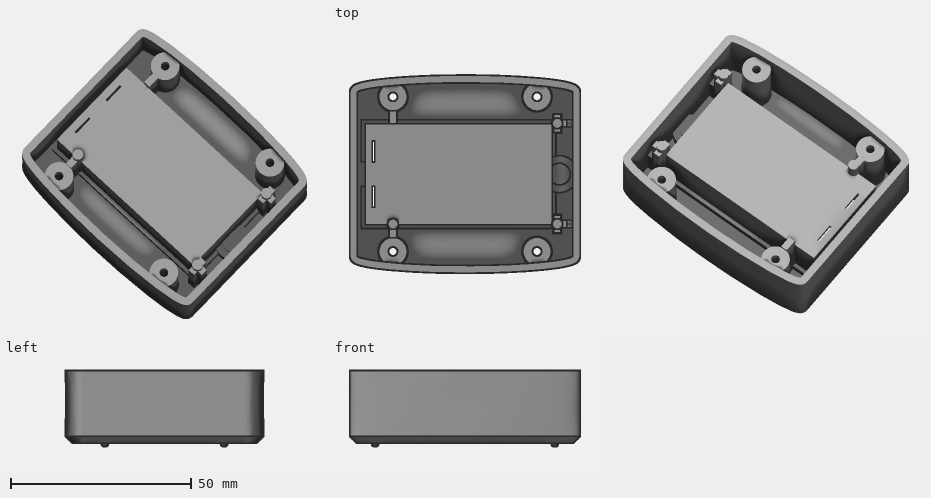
import cadquery as cq
import math

LENGTH = 64.0
WIDTH = 55.05
SHELL_HEIGHT = 20.2
WALL = 2.2
BOTTOM_CHAMFER = 2.0
END_WALL_MID_X = LENGTH / 2 - WALL / 2
BOTTOM_Z = -SHELL_HEIGHT
FLOOR_Z = BOTTOM_Z + WALL

OUTER_END_Y = 22.5
OUTER_CORNER_Y = 27.4
OUTER_SHOULDER = (24.5, 24.6)
OUTER_BOW_X = 22.15
INNER_END_Y = 22.7
INNER_SHOULDER = (28.6, 24.25)
INNER_BOW_X = 11.7

FOOT_RADIUS = 1.0
FOOT_X = 24.9
FOOT_Y = 16.5

BOX_X_MIN = -27.7
BOX_X_MAX = 24.2
BOX_WIDTH = 28.0
BOX_TOP_Z = -4.5
BOX_WALL = 1.2
FRAME_LEDGE = 1.0
FRAME_HEIGHT = 2.0
FRAME_NOTCH_WIDTH = 6.8

SLOT_X = -25.35
SLOT_THICKNESS = 0.65
SLOT_LENGTH = 5.75
SLOT_CENTER_Y = 6.3

GRIP_X = 26.2
GRIP_RADIUS = 5.1
GRIP_HEIGHT = 3.2
GRIP_CAP_RADIUS = 3.0
GRIP_CAP_HEIGHT = 0.65

DRAFT_ANGLE = 0.8

BOSS_X = 20.0
BOSS_Y = 21.45
BOSS_TOP_RADIUS = 4.0
BOSS_TOP_Z = -2.9
SCREW_HOLE_RADIUS = 1.2

PIN_X = 25.6
PIN_PITCH_Y = 27.9
PIN_CENTER_Y = 0.1
PIN_TOP_RADIUS = 1.5
PIN_TOP_Z = -0.3
RIB_TOP_Z = -2.2
RIB_THICKNESS = 2.0
BOSS_RIB_OVERLAP = 0.1
PIN_RIB_LENGTH = 4.9
END_RIB_STEP_X = 28.2
LOW_RIB_TOP_Z = -10.25

SIDES = (-1, 1)


def crown_control_y(fixed_ys, crown_y):
    """Y of the middle pair of Bezier controls that brings the side's middle to crown_y."""
    degree = 2 * len(fixed_ys) + 1
    fixed_part = sum(math.comb(degree, i) * y for i, y in enumerate(fixed_ys))
    middle_weight = math.comb(degree, len(fixed_ys))
    return (crown_y * 2 ** (degree - 1) - fixed_part) / middle_weight


def bowed_outline(end_controls, bow_x, crown_y):
    """Closed outline of straight ends and bowed sides, symmetric about X and Y.

    end_controls are the Bezier controls near the +X end of the +Y side. The middle pair of
    controls sits at X = +-bow_x, and the side peaks at Y = crown_y.
    """
    bow_y = crown_control_y([y for _, y in end_controls], crown_y)
    half_side = [*end_controls, (bow_x, bow_y)]
    side = half_side + [(-x, y) for x, y in reversed(half_side)]
    far_side = [(-x, -y) for x, y in side]
    return (
        cq.Workplane("XY")
        .moveTo(*far_side[-1])
        .lineTo(*side[0])
        .bezier(side[1:], includeCurrent=True)
        .lineTo(*far_side[0])
        .bezier(far_side[1:], includeCurrent=True)
        .close()
    )


def block(x_min, x_max, y_min, y_max, z_min, z_max):
    """Axis-aligned box given by its limits."""
    size = (x_max - x_min, y_max - y_min, z_max - z_min)
    return cq.Workplane("XY").box(*size, centered=False).translate((x_min, y_min, z_min))


def drafted_block(x_min, x_max, y_min, y_max, top_z):
    """Block from the floor up to top_z that widens downward by the draft angle."""
    return (
        cq.Workplane("XY", origin=((x_min + x_max) / 2, (y_min + y_max) / 2, top_z))
        .rect(x_max - x_min, y_max - y_min)
        .extrude(FLOOR_Z - top_z, taper=-DRAFT_ANGLE)
    )


def cylinder(x, y, radius, z_min, z_max):
    return cq.Workplane("XY", origin=(x, y, z_min)).circle(radius).extrude(z_max - z_min)


def drafted_post(x, y, top_radius, top_z):
    """Round post from the floor up to top_z that widens downward by the draft angle."""
    return (
        cq.Workplane("XY", origin=(x, y, top_z))
        .circle(top_radius)
        .extrude(FLOOR_Z - top_z, taper=-DRAFT_ANGLE)
    )


def make_shell():
    half_length = LENGTH / 2
    half_width = WIDTH / 2
    outer_end = [(half_length, OUTER_END_Y), (half_length, OUTER_CORNER_Y), OUTER_SHOULDER]
    inner_end = [(half_length - WALL, INNER_END_Y), INNER_SHOULDER]
    outer = bowed_outline(outer_end, OUTER_BOW_X, half_width)
    inner = bowed_outline(inner_end, INNER_BOW_X, half_width - WALL)
    body = outer.extrude(-SHELL_HEIGHT).faces("<Z").chamfer(BOTTOM_CHAMFER)
    return body.cut(inner.extrude(FLOOR_Z))


def make_compartment():
    half_box = BOX_WIDTH / 2
    half_frame = half_box + FRAME_LEDGE
    half_notch = FRAME_NOTCH_WIDTH / 2
    frame_top = FLOOR_Z + FRAME_HEIGHT
    frame_x_min = BOX_X_MIN - FRAME_LEDGE
    frame_x_max = BOX_X_MAX + FRAME_LEDGE
    frame = drafted_block(frame_x_min, frame_x_max, -half_frame, half_frame, frame_top)
    notch = block(-LENGTH / 2, BOX_X_MIN, -half_notch, half_notch, FLOOR_Z, frame_top)
    box = block(BOX_X_MIN, BOX_X_MAX, -half_box, half_box, FLOOR_Z, BOX_TOP_Z)
    return frame.cut(notch).union(box)


def make_battery_space():
    """Open-bottomed hollow of the compartment with the contact slots through its roof."""
    half_space = BOX_WIDTH / 2 - BOX_WALL
    x_min = BOX_X_MIN + BOX_WALL
    x_max = BOX_X_MAX - BOX_WALL
    space = block(x_min, x_max, -half_space, half_space, BOTTOM_Z, BOX_TOP_Z - BOX_WALL)
    slot_x_min = SLOT_X - SLOT_THICKNESS / 2
    slot_x_max = SLOT_X + SLOT_THICKNESS / 2
    for side in SIDES:
        slot_y_min = side * SLOT_CENTER_Y - SLOT_LENGTH / 2
        slot_y_max = side * SLOT_CENTER_Y + SLOT_LENGTH / 2
        slot = block(slot_x_min, slot_x_max, slot_y_min, slot_y_max, BOTTOM_Z, BOX_TOP_Z)
        space = space.union(slot)
    return space


def make_grip():
    step_z = FLOOR_Z + GRIP_HEIGHT
    base = cylinder(GRIP_X, 0, GRIP_RADIUS, FLOOR_Z, step_z)
    cap = cylinder(GRIP_X, 0, GRIP_CAP_RADIUS, step_z, step_z + GRIP_CAP_HEIGHT)
    outside_box = block(BOX_X_MAX, END_WALL_MID_X, -GRIP_RADIUS, GRIP_RADIUS, FLOOR_Z, BOX_TOP_Z)
    return base.union(cap).intersect(outside_box)


def make_boss_rib(side):
    """Rib from a boss on the -X end to the edge of the compartment roof."""
    boss_edge_y = BOSS_Y - BOSS_TOP_RADIUS + BOSS_RIB_OVERLAP
    y_min, y_max = sorted((side * BOX_WIDTH / 2, side * boss_edge_y))
    half_rib = RIB_THICKNESS / 2
    return drafted_block(-BOSS_X - half_rib, -BOSS_X + half_rib, y_min, y_max, RIB_TOP_Z)


def make_braced_pin(y):
    """Pin on the +X end with a cross rib and a stepped rib to the end wall."""
    half_rib = RIB_THICKNESS / 2
    half_cross = PIN_RIB_LENGTH / 2
    pin = drafted_post(PIN_X, y, PIN_TOP_RADIUS, PIN_TOP_Z)
    cross_rib = drafted_block(PIN_X - half_rib, PIN_X + half_rib, y - half_cross, y + half_cross, RIB_TOP_Z)
    high_rib = block(PIN_X, END_RIB_STEP_X, y - half_rib, y + half_rib, FLOOR_Z, RIB_TOP_Z)
    low_rib = block(PIN_X, END_WALL_MID_X, y - half_rib, y + half_rib, FLOOR_Z, LOW_RIB_TOP_Z)
    return pin.union(cross_rib).union(high_rib).union(low_rib)


def make_foot(x, y):
    """Ball sunk halfway into the underside."""
    return cq.Workplane("XY").sphere(FOOT_RADIUS).translate((x, y, BOTTOM_Z))


result = make_shell().union(make_compartment()).union(make_grip())

for side in SIDES:
    pin_y = PIN_CENTER_Y + side * PIN_PITCH_Y / 2
    result = result.union(make_boss_rib(side)).union(make_braced_pin(pin_y))

corner_pin_y = PIN_CENTER_Y - PIN_PITCH_Y / 2
result = result.union(drafted_post(-BOSS_X, corner_pin_y, PIN_TOP_RADIUS, PIN_TOP_Z))
result = result.cut(make_battery_space())

for x_side in SIDES:
    for y_side in SIDES:
        boss_x = x_side * BOSS_X
        boss_y = y_side * BOSS_Y
        boss = drafted_post(boss_x, boss_y, BOSS_TOP_RADIUS, BOSS_TOP_Z)
        screw_hole = cylinder(boss_x, boss_y, SCREW_HOLE_RADIUS, BOTTOM_Z, BOSS_TOP_Z)
        foot = make_foot(x_side * FOOT_X, y_side * FOOT_Y)
        result = result.union(boss).union(foot).cut(screw_hole)